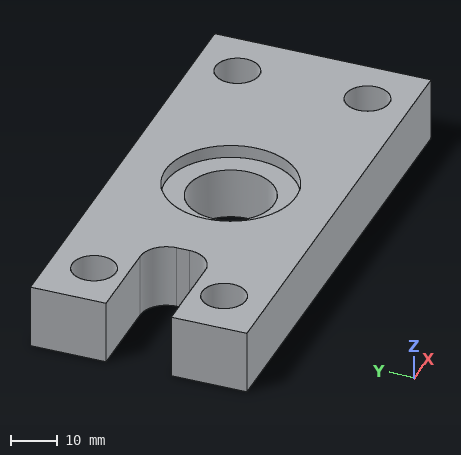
import cadquery as cq

length = 108.0
width = 50.0
thickness = 15.0

bore_diameter = 20.0
counterbore_diameter = 30.0
counterbore_depth = 3.0

hole_diameter = 10.0
hole_spacing_x = 84.0
hole_spacing_y = 30.0

slot_width = 15.0
slot_depth = 26.0
slot_corner_radius = 6.0


def make_plate():
    return cq.Workplane("XY").box(length, width, thickness)


def make_slot_cutter():
    return (
        cq.Workplane("XY")
        .box(slot_depth, slot_width, thickness)
        .edges("|Z and >X")
        .fillet(slot_corner_radius)
        .translate(((slot_depth - length) / 2, 0, 0))
    )


def drill_holes(body):
    return (
        body.faces(">Z")
        .workplane(origin=(0, 0, 0))
        .cboreHole(bore_diameter, counterbore_diameter, counterbore_depth)
        .faces(">Z")
        .workplane(origin=(0, 0, 0))
        .rarray(hole_spacing_x, hole_spacing_y, 2, 2)
        .hole(hole_diameter)
    )


result = drill_holes(make_plate()).cut(make_slot_cutter())